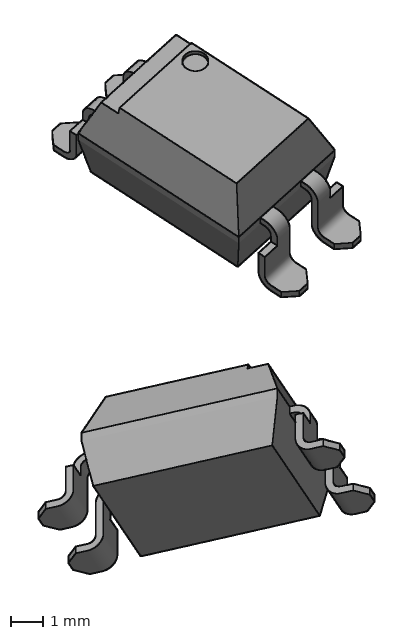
import cadquery as cq

body_length = 6.5
body_width = 4.6
body_bottom = 0.35
belt_bottom = 1.95
belt_top = 2.25
body_top = 3.85
top_inset = 0.58
bottom_inset = 0.28

step_depth = 0.2
step_end_x = -2.06
dimple_diameter = 0.81
dimple_depth = 0.15
dimple_x = -1.49
dimple_y = 1.23

lead_span = 10.0
lead_pitch = 2.54
lead_thickness = 0.26
lead_outer_x = 3.94
lead_top = 2.24
lead_wide = 1.2
lead_narrow = 0.6
shoulder_z = 1.43
bend_inner_radius = 0.26
bend_outer_radius = bend_inner_radius + lead_thickness
foot_chamfer = 0.4
lead_embed = 0.2


def tapered_half(start_z, end_z, inset):
    """Frustum from the belt outline at start_z to an inset outline at end_z."""
    return (
        cq.Workplane("XY", origin=(0, 0, start_z))
        .rect(body_length, body_width)
        .workplane(offset=end_z - start_z)
        .rect(body_length - 2 * inset, body_width - 2 * inset)
        .loft(ruled=True)
    )


def make_body():
    belt = cq.Workplane("XY", origin=(0, 0, belt_bottom)).box(
        body_length, body_width, belt_top - belt_bottom, centered=(True, True, False)
    )
    body = belt.union(tapered_half(belt_top, body_top, top_inset))
    body = body.union(tapered_half(belt_bottom, body_bottom, bottom_inset))

    step_start_x = -body_length / 2
    step = cq.Workplane("XY", origin=(step_start_x, 0, body_top - step_depth)).box(
        step_end_x - step_start_x, body_width, step_depth, centered=(False, True, False)
    )
    dimple = (
        cq.Workplane("XY", origin=(dimple_x, dimple_y, body_top - dimple_depth))
        .circle(dimple_diameter / 2)
        .extrude(dimple_depth)
    )
    return body.cut(step).cut(dimple)


def make_lead():
    """Lead on the +X, +Y corner, running from inside the body to the foot."""
    tip_x = lead_span / 2
    inner_x = lead_outer_x - lead_thickness
    root_x = body_length / 2 - lead_embed
    inner_y = (lead_pitch - lead_wide) / 2
    outer_y = inner_y + lead_wide

    profile = (
        cq.Workplane("XZ", origin=(0, outer_y, 0))
        .moveTo(root_x, lead_top)
        .lineTo(lead_outer_x - bend_outer_radius, lead_top)
        .radiusArc((lead_outer_x, lead_top - bend_outer_radius), bend_outer_radius)
        .lineTo(lead_outer_x, bend_outer_radius)
        .radiusArc((lead_outer_x + bend_inner_radius, lead_thickness), -bend_inner_radius)
        .lineTo(tip_x, lead_thickness)
        .lineTo(tip_x, 0)
        .lineTo(inner_x + bend_outer_radius, 0)
        .radiusArc((inner_x, bend_outer_radius), bend_outer_radius)
        .lineTo(inner_x, lead_top - bend_outer_radius)
        .radiusArc((inner_x - bend_inner_radius, lead_top - lead_thickness), -bend_inner_radius)
        .lineTo(root_x, lead_top - lead_thickness)
        .close()
    )
    lead = profile.extrude(lead_wide)
    lead = lead.faces(">X").edges("|Z").chamfer(foot_chamfer)

    relief = cq.Workplane("XY", origin=(root_x, inner_y + lead_narrow, shoulder_z)).box(
        lead_outer_x - root_x, lead_wide - lead_narrow, lead_top - shoulder_z, centered=False
    )
    return lead.cut(relief)


result = make_body()
lead = make_lead()
opposite_lead = lead.mirror("YZ")
for side in (lead, opposite_lead):
    result = result.union(side).union(side.mirror("XZ"))